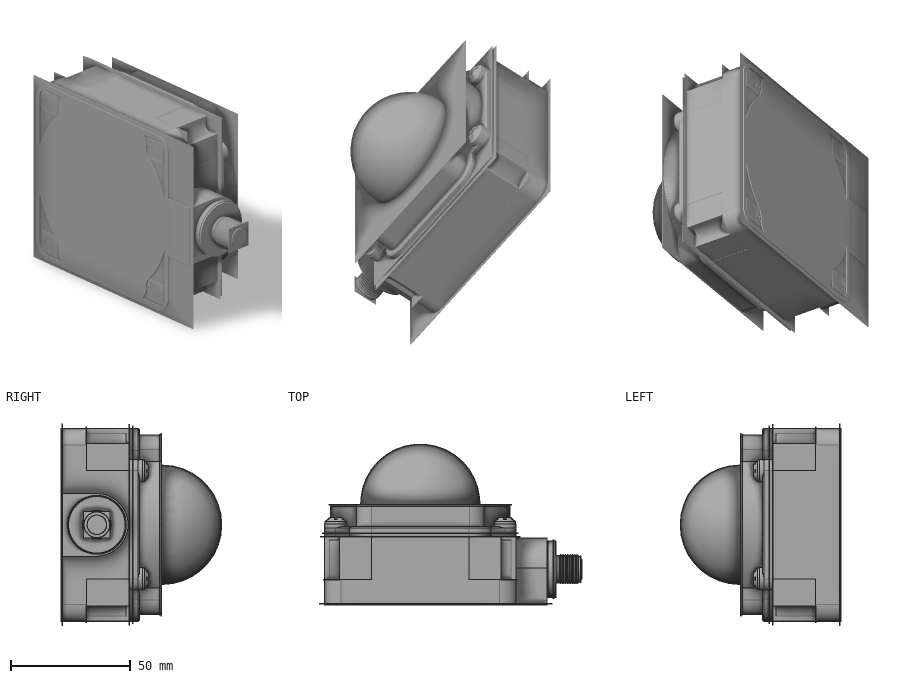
import cadquery as cq
import math


width = 80.0
height = 80.6
corner_radius = 6.9
housing_depth = 28.7
half_width = width / 2
half_height = height / 2

recess_start = 10.7
recess_size = 6.4
recess_fillet = 4.2
recess_fillet_end = 27.2
panel_step = 0.1
panel_inner_x = 20.4
panel_inner_z = 22.6

pocket_depth = 0.4
pocket_margin = 2.1
pocket_corner = 4.4
pocket_sweep_radius = 39.6
flare_top_x = 24.5
flare_mid_x = 25.8
flare_mid_z = 36.2
flare_base_x = 26.6
flare_base_z = 33.5
bend_mid_x = 26.9
bend_mid_z = 30.1
bend_angle = 44.2
mount_spacing = 64.9
mount_pad_size = 9.4
mount_pad_depth = 0.2
mount_ring_radius = 4.5
mount_ring_depth = 0.3
mount_hole_radius = 2.9

sheet_thickness = 0.2
front_sheet_y = 0.4
front_sheet_left = -42.1
front_sheet_right = 54.9
front_sheet_height = 84.1
seam_sheet_margin = 0.4
joint_sheet_margin = 1.6
cover_sheet_y = 29.9
cover_sheet_margin = 0.9

cover_back = 32.8
cover_chamfer = 0.5
tall_plate_width = 59.2
tall_plate_radius = 9.2
screw_x = 35.3
screw_z = 22.5
screw_boss_radius = half_width - screw_x
wide_plate_radius = 4.6
screw_boss_back = 34.0
wide_plate_height = 2 * (screw_z + screw_boss_radius)
head_radius = 4.5
head_rim_back = 34.9
head_top_radius = 2.4
head_back = 36.6
head_slot_width = 1.0
head_slot_depth = 0.9

ring_back = 42.1
ring_radius = 37.5
ring_block_width = 53.2
ring_block_radius = 6.1
ring_sheet_margin = 0.7
ring_lip_start = 41.2
ring_lip_step = 0.1
dome_radius = 24.9
dome_back = 67.2

port_right = 53.0
port_radius = 13.0
port_axis_y = 15.0
port_front = 0.1
port_base_back = 15.6
port_base_step = 0.1
spacer_radius = 11.0
collar_left = 53.4
collar_right = 56.6
collar_radius = 11.8
rim_left = 55.5
rim_width = 0.4
rim_radius = 12.3
thread_start = 58.1
thread_pitch = 1.0
thread_turns = 8
thread_radius = 6.0
thread_root = 5.5
neck_radius = 5.8
tip_radius = 5.4
tip_shoulder = 67.1
tip_sheet_size = 11.2
end_radius = 4.1
overall_length = 109.6
tip_right = front_sheet_left + overall_length

corners = [(side_x, side_z) for side_x in (-1, 1) for side_z in (-1, 1)]


def plane_at(y):
    return cq.Workplane("XZ", origin=(0, y, 0))


def block(size_x, size_z, y_start, y_end, center_x=0, center_z=0):
    return plane_at(y_start).center(center_x, center_z).rect(size_x, size_z).extrude(y_start - y_end)


def rounded_block(size_x, size_z, radius, y_start, y_end):
    return block(size_x, size_z, y_start, y_end).edges("|Y").fillet(radius)


def disc(radius, y_start, y_end, x=0, z=0):
    return plane_at(y_start).center(x, z).circle(radius).extrude(y_start - y_end)


def port_disc(radius, x_start, x_end):
    plane = cq.Workplane("YZ", origin=(x_start, port_axis_y, 0))
    return plane.circle(radius).extrude(x_end - x_start)


def corner_panel(side_x, side_z):
    """Thin layers removed from both side faces next to one corner."""
    length_x = half_width - panel_inner_x
    length_z = half_height - panel_inner_z
    center_x = side_x * (panel_inner_x + length_x / 2)
    center_z = side_z * (panel_inner_z + length_z / 2)
    z_face = block(length_x, 2 * panel_step, recess_start, housing_depth, center_x, side_z * half_height)
    x_face = block(2 * panel_step, length_z, recess_start, housing_depth, side_x * half_width, center_z)
    return z_face.union(x_face)


def corner_recess(side_x, side_z):
    """Square corner notch whose inner edge is rounded up to a sharp last stretch."""
    size = 2 * recess_size
    center_x = side_x * half_width
    center_z = side_z * half_height
    notch = block(size, size, recess_start, recess_fillet_end, center_x, center_z)
    inner_edge = ("<X" if side_x > 0 else ">X") + " and " + ("<Z" if side_z > 0 else ">Z")
    notch = notch.edges("|Y").edges(inner_edge).fillet(recess_fillet)
    return notch.union(block(size, size, recess_fillet_end, housing_depth, center_x, center_z))


def corner_sheet(side_x, side_z):
    """Thin square sheet at the front end of one corner recess."""
    size = recess_size + seam_sheet_margin
    center_x = side_x * (half_width + seam_sheet_margin - size / 2)
    center_z = side_z * (half_height + seam_sheet_margin - size / 2)
    return block(size, size, recess_start - sheet_thickness, recess_start, center_x, center_z)


def front_pocket(side_x, side_z):
    """Corner pocket bounded by a large sweep about the face centre, with a raised screw pad."""
    outer_x = half_width - pocket_margin
    outer_z = half_height - pocket_margin
    arc_offset = pocket_corner * (1 - math.sqrt(0.5))
    bend_end = math.radians(bend_angle)
    sweep_end = math.acos(outer_x / pocket_sweep_radius)
    sweep_mid = (bend_end + sweep_end) / 2

    def at(x, z):
        return (side_x * x, side_z * z)

    def on_sweep(angle):
        return at(pocket_sweep_radius * math.cos(angle), pocket_sweep_radius * math.sin(angle))

    pocket = (
        plane_at(0)
        .moveTo(*on_sweep(sweep_end))
        .lineTo(*at(outer_x, outer_z - pocket_corner))
        .threePointArc(at(outer_x - arc_offset, outer_z - arc_offset), at(outer_x - pocket_corner, outer_z))
        .lineTo(*at(flare_top_x, outer_z))
        .threePointArc(at(flare_mid_x, flare_mid_z), at(flare_base_x, flare_base_z))
        .threePointArc(at(bend_mid_x, bend_mid_z), on_sweep(bend_end))
        .threePointArc(on_sweep(sweep_mid), on_sweep(sweep_end))
        .close()
        .extrude(-pocket_depth)
    )
    mount_x, mount_z = at(mount_spacing / 2, mount_spacing / 2)
    pad = block(mount_pad_size, mount_pad_size, mount_pad_depth, pocket_depth, mount_x, mount_z)
    ring = disc(mount_ring_radius, 0, mount_ring_depth, mount_x, mount_z)
    hole = disc(mount_hole_radius, 0, pocket_depth, mount_x, mount_z)
    return pocket.cut(pad).union(ring).union(hole)


def make_housing():
    housing = rounded_block(width, height, corner_radius, 0, housing_depth)
    for side_x, side_z in corners:
        housing = housing.cut(corner_panel(side_x, side_z))
        housing = housing.cut(corner_recess(side_x, side_z))
    return housing


def make_sheet(y, margin, size_x=width, size_z=height):
    return block(size_x + 2 * margin, size_z + 2 * margin, y, y + sheet_thickness)


def make_front_sheet():
    center_x = (front_sheet_left + front_sheet_right) / 2
    sheet_width = front_sheet_right - front_sheet_left
    sheet_end = front_sheet_y + sheet_thickness
    return block(sheet_width, front_sheet_height, front_sheet_y, sheet_end, center_x)


def make_screw(x, z):
    """Boss with a tapered, cross-slotted screw head."""
    boss = disc(screw_boss_radius, housing_depth, screw_boss_back, x, z)
    head = disc(head_radius, screw_boss_back, head_back, x, z)
    head = head.faces(">Y").chamfer(head_back - head_rim_back, head_radius - head_top_radius)
    slot_start = head_back - head_slot_depth
    slot_length = 2 * head_radius
    head = head.cut(block(head_slot_width, slot_length, slot_start, head_back, x, z))
    head = head.cut(block(slot_length, head_slot_width, slot_start, head_back, x, z))
    return boss.union(head)


def make_cover():
    tall_plate = rounded_block(tall_plate_width, height, tall_plate_radius, housing_depth, cover_back)
    wide_plate = block(width, wide_plate_height, housing_depth, cover_back)
    wide_plate = wide_plate.edges("|Y").fillet(wide_plate_radius)
    cover = tall_plate.union(wide_plate).faces(">Y").chamfer(cover_chamfer)
    for side_x, side_z in corners:
        cover = cover.union(make_screw(side_x * screw_x, side_z * screw_z))
    return cover


def ring_layer(growth, y_start, y_end):
    """Round ring joined with a rounded block, enlarged all round by the growth."""
    ring = disc(ring_radius + growth, y_start, y_end)
    block_width = ring_block_width + 2 * growth
    block_height = 2 * (ring_radius + growth)
    return ring.union(rounded_block(block_width, block_height, ring_block_radius + growth, y_start, y_end))


def make_lens():
    ring = ring_layer(0, cover_back, ring_back)
    lip = ring_layer(ring_lip_step, ring_lip_start, ring_back)
    dome = cq.Workplane("XY").sphere(dome_radius).translate((0, dome_back - dome_radius, 0))
    return ring.union(lip).union(dome)


def make_port():
    """Arch-shaped port with a stepped collar and a ring-grooved connector."""
    length = port_right
    center_x = length / 2
    base_width = 2 * (port_radius + port_base_step)
    port = block(length, base_width, port_front, port_base_back, center_x)
    port = port.union(port_disc(port_radius, 0, port_right))
    port = port.union(port_disc(spacer_radius, port_right, collar_left))
    port = port.union(port_disc(collar_radius, collar_left, collar_right))
    port = port.union(port_disc(rim_radius, rim_left, rim_left + rim_width))
    port = port.union(port_disc(neck_radius, collar_right, thread_start))
    thread_end = thread_start + thread_turns * thread_pitch

    profile = cq.Workplane("XY").moveTo(thread_start, 0).lineTo(thread_start, thread_root)
    for turn in range(thread_turns):
        turn_start = thread_start + turn * thread_pitch
        profile = profile.lineTo(turn_start + thread_pitch / 2, thread_radius)
        profile = profile.lineTo(turn_start + thread_pitch, thread_root)
    thread = profile.lineTo(thread_end, 0).close().revolve(360, (0, 0, 0), (1, 0, 0))
    port = port.union(thread.translate((0, port_axis_y, 0)))
    port = port.union(port_disc(tip_radius, thread_end, tip_shoulder))
    tip_plane = cq.Workplane("YZ", origin=(tip_shoulder - sheet_thickness, port_axis_y, 0))
    port = port.union(tip_plane.rect(tip_sheet_size, tip_sheet_size).extrude(sheet_thickness))
    return port.union(port_disc(end_radius, tip_shoulder, tip_right))


result = make_housing().union(make_cover()).union(make_lens()).union(make_port())
result = result.union(make_front_sheet())
result = result.union(make_sheet(housing_depth - sheet_thickness, joint_sheet_margin))
result = result.union(make_sheet(cover_sheet_y, cover_sheet_margin))
ring_size = 2 * ring_radius
result = result.union(make_sheet(ring_back - sheet_thickness, ring_sheet_margin, ring_size, ring_size))
for corner in corners:
    result = result.union(corner_sheet(*corner))
    result = result.cut(front_pocket(*corner))